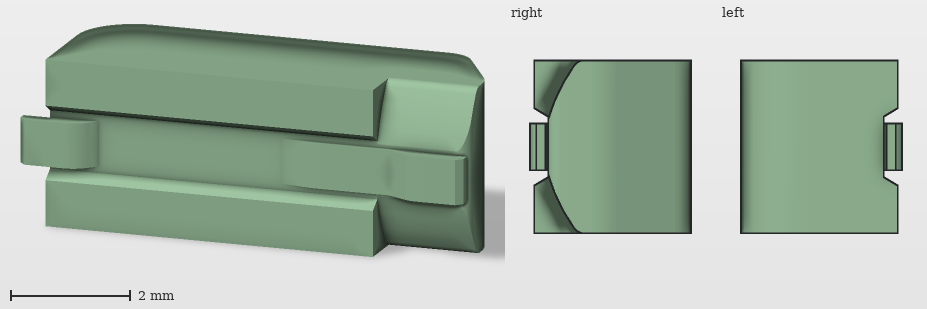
import cadquery as cq
import math

LENGTH = 7.85
DEPTH = 2.7
HEIGHT = 2.9

BODY_LEFT = 0.455
BODY_FRONT = 0.07
LEFT_CORNER_RADIUS = 1.0
SLANT_ANGLE = math.radians(60)
SLANT_START_Y = 1.255
SLANT_BACK_RADIUS = 0.55
SLANT_END_RADIUS = 0.8

FLOOR_Y = 0.31
GROOVE_MOUTH_WIDTH = 1.295
GROOVE_FLOOR_WIDTH = 1.01

NOSE_START_X = 6.26
NOSE_TOP_Y = 0.92
NOSE_FLAT_WIDTH = 0.91
SHOULDER_RADIUS = 0.22
SHOULDER_ANGLE = math.radians(55)
NOSE_CORNER_RADIUS = 0.205

LEAD_WIDTH = 0.785
LEAD_THICKNESS = 0.26
TIP_CHAMFER = 0.11
BEND_INNER_RADIUS = 0.27
BEND_OUTER_RADIUS = BEND_INNER_RADIUS + LEAD_THICKNESS
LEAD_EMBED_Y = 0.55
LEFT_BEND_X = 1.0
LEFT_BEND_ANGLE = math.radians(43)
RIGHT_BEND_X = 6.94
RIGHT_BEND_ANGLE = math.radians(25)
RIGHT_FLAT_Y = 0.21
RIGHT_RAMP_START_X = 4.56
RIGHT_RAMP_END_X = 5.125
RAMP_RADIUS = 1.4


def fillet_at(solid, x, y, radius):
    """Round the Z-parallel edge through (x, y)."""
    reach = 0.01
    box = cq.selectors.BoxSelector((x - reach, y - reach, -HEIGHT), (x + reach, y + reach, HEIGHT))
    return solid.edges("|Z").edges(box).fillet(radius)


def extrude_plan(points, width):
    """Extrude a closed XY outline symmetrically about Z = 0."""
    return cq.Workplane("XY").polyline(points).close().extrude(width / 2, both=True)


def make_body():
    slant_back_x = LENGTH - (DEPTH - SLANT_START_Y) / math.tan(SLANT_ANGLE)
    body = extrude_plan(
        [
            (BODY_LEFT, BODY_FRONT),
            (NOSE_START_X, BODY_FRONT),
            (NOSE_START_X, FLOOR_Y),
            (LENGTH, FLOOR_Y),
            (LENGTH, SLANT_START_Y),
            (slant_back_x, DEPTH),
            (BODY_LEFT, DEPTH),
        ],
        HEIGHT,
    )
    body = fillet_at(body, BODY_LEFT, DEPTH, LEFT_CORNER_RADIUS)
    body = fillet_at(body, slant_back_x, DEPTH, SLANT_BACK_RADIUS)
    body = fillet_at(body, LENGTH, SLANT_START_Y, SLANT_END_RADIUS)
    return fillet_at(body, LENGTH, FLOOR_Y, NOSE_CORNER_RADIUS)


def make_groove():
    mouth = GROOVE_MOUTH_WIDTH / 2
    floor = GROOVE_FLOOR_WIDTH / 2
    return (
        cq.Workplane("YZ", origin=(BODY_LEFT, 0, 0))
        .polyline([(BODY_FRONT, -mouth), (FLOOR_Y, -floor), (FLOOR_Y, floor), (BODY_FRONT, mouth)])
        .close()
        .extrude(NOSE_START_X - BODY_LEFT)
    )


def make_nose_cut():
    """Material outside the upper flank of the nose: a tight shoulder running into a broad arc."""
    top = HEIGHT / 2
    shoulder_drop = SHOULDER_RADIUS * (1 - math.cos(SHOULDER_ANGLE))
    shoulder_y = NOSE_TOP_Y - SHOULDER_RADIUS * math.sin(SHOULDER_ANGLE)
    shoulder_middle = (
        NOSE_TOP_Y - SHOULDER_RADIUS * math.sin(SHOULDER_ANGLE / 2),
        top - SHOULDER_RADIUS * (1 - math.cos(SHOULDER_ANGLE / 2)),
    )
    return (
        cq.Workplane("YZ", origin=(NOSE_START_X, 0, 0))
        .moveTo(NOSE_TOP_Y, top)
        .threePointArc(shoulder_middle, (shoulder_y, top - shoulder_drop))
        .tangentArcPoint((FLOOR_Y, NOSE_FLAT_WIDTH / 2), relative=False)
        .lineTo(FLOOR_Y, top)
        .close()
        .extrude(LENGTH - NOSE_START_X)
    )


def make_left_lead():
    inner_x = LEFT_BEND_X - LEAD_THICKNESS * math.tan(LEFT_BEND_ANGLE / 2)
    slope = math.tan(LEFT_BEND_ANGLE)
    lead = extrude_plan(
        [
            (0, LEAD_THICKNESS),
            (0, TIP_CHAMFER),
            (TIP_CHAMFER, 0),
            (LEFT_BEND_X, 0),
            (LEFT_BEND_X + LEAD_EMBED_Y / slope, LEAD_EMBED_Y),
            (inner_x + (LEAD_EMBED_Y - LEAD_THICKNESS) / slope, LEAD_EMBED_Y),
            (inner_x, LEAD_THICKNESS),
        ],
        LEAD_WIDTH,
    )
    lead = fillet_at(lead, LEFT_BEND_X, 0, BEND_OUTER_RADIUS)
    return fillet_at(lead, inner_x, LEAD_THICKNESS, BEND_INNER_RADIUS)


def make_right_lead():
    inner_x = RIGHT_BEND_X + LEAD_THICKNESS * math.tan(RIGHT_BEND_ANGLE / 2)
    slope = math.tan(RIGHT_BEND_ANGLE)
    upper_bend_x = RIGHT_BEND_X - RIGHT_FLAT_Y / slope
    lead = extrude_plan(
        [
            (LENGTH, LEAD_THICKNESS),
            (LENGTH, TIP_CHAMFER),
            (LENGTH - TIP_CHAMFER, 0),
            (RIGHT_BEND_X, 0),
            (upper_bend_x, RIGHT_FLAT_Y),
            (RIGHT_RAMP_END_X, RIGHT_FLAT_Y),
            (RIGHT_RAMP_START_X, FLOOR_Y),
            (RIGHT_RAMP_START_X, LEAD_EMBED_Y),
            (inner_x - (LEAD_EMBED_Y - LEAD_THICKNESS) / slope, LEAD_EMBED_Y),
            (inner_x, LEAD_THICKNESS),
        ],
        LEAD_WIDTH,
    )
    lead = fillet_at(lead, RIGHT_BEND_X, 0, BEND_OUTER_RADIUS)
    lead = fillet_at(lead, upper_bend_x, RIGHT_FLAT_Y, BEND_INNER_RADIUS)
    lead = fillet_at(lead, RIGHT_RAMP_END_X, RIGHT_FLAT_Y, RAMP_RADIUS)
    return fillet_at(lead, inner_x, LEAD_THICKNESS, BEND_INNER_RADIUS)


nose_cut = make_nose_cut()
housing = make_body().cut(make_groove()).cut(nose_cut).cut(nose_cut.mirror("XY"))
result = housing.union(make_left_lead()).union(make_right_lead())